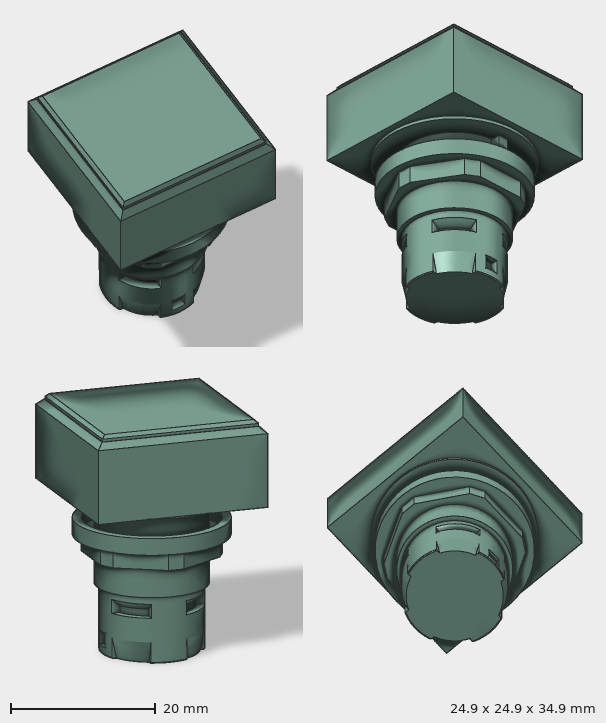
import cadquery as cq
import math

head_side = 24.95
bezel_chamfer = 0.9
cap_side = 23.0
cap_chamfer = 0.5

flange_dia = 23.0
neck_dia = 16.0
ring_dia = 22.0
body_dia = 14.65
core_dia = 12.4

nut_flats = 18.0
nut_corners = 19.5

body_top = 9.65
nut_bottom = 14.0
ring_bottom = 16.6
ring_top = 19.0
flange_bottom = 21.95
head_bottom = 22.45
bezel_top = 33.95
cap_top = 34.85

groove_dia = 19.5
groove_depth = 2.0

tab_reach = 9.55
tab_width = 1.6
tab_bottom = 19.75
tab_top = 21.85

rib_width = 5.1
window_bottom = 6.5
window_top = 8.5
window_roof_drop = 1.0

notch_rib_width = 5.3
notch_top = 3.0
notch_dia = 13.4

hole_side = 2.1
hole_bottom = 1.15

body_edge_chamfer = 0.15


def cylinder(diameter, bottom, top):
    return cq.Workplane("XY").workplane(offset=bottom).circle(diameter / 2).extrude(top - bottom)


def square_block(side, bottom, top):
    return cq.Workplane("XY").workplane(offset=bottom).rect(side, side).extrude(top - bottom)


def hexagon(across_flats, bottom, top):
    across_points = across_flats / math.cos(math.pi / 6)
    plane = cq.Workplane("XY").workplane(offset=bottom)
    return plane.polygon(6, across_points).extrude(top - bottom)


def make_head():
    bezel = square_block(head_side, head_bottom, bezel_top).faces(">Z").edges().chamfer(bezel_chamfer)
    cap = square_block(cap_side, head_bottom, cap_top).faces(">Z").edges().chamfer(cap_chamfer)
    return bezel.union(cap)


def make_nut():
    flats = hexagon(nut_flats, nut_bottom, ring_bottom).rotate((0, 0, 0), (0, 0, 1), 30)
    return flats.intersect(hexagon(nut_corners, nut_bottom, ring_bottom))


def make_ring():
    ring = cylinder(ring_dia, ring_bottom, ring_top)
    return ring.cut(cylinder(groove_dia, ring_top - groove_depth, ring_top))


def make_tab():
    plane = cq.Workplane("XY").workplane(offset=tab_bottom).center(-tab_reach / 2, 0)
    return plane.rect(tab_reach, tab_width).extrude(tab_top - tab_bottom)


def keep_between_ribs(ring, width, bottom, top):
    plane = cq.Workplane("XY").workplane(offset=bottom)
    rib_x = plane.rect(head_side, width).extrude(top - bottom)
    rib_y = plane.rect(width, head_side).extrude(top - bottom)
    return ring.cut(rib_x).cut(rib_y)


def make_windows():
    inner = core_dia / 2
    outer = body_dia / 2
    ring = (
        cq.Workplane("XZ")
        .moveTo(inner, window_bottom)
        .lineTo(outer, window_bottom)
        .lineTo(outer, window_top)
        .lineTo(inner, window_top - window_roof_drop)
        .close()
        .revolve(360, (0, 0), (0, 1))
    )
    return keep_between_ribs(ring, rib_width, window_bottom, window_top)


def make_notches():
    inner = notch_dia / 2
    outer = body_dia / 2
    ring = (
        cq.Workplane("XZ")
        .moveTo(inner, 0)
        .lineTo(outer, 0)
        .lineTo(outer, notch_top)
        .close()
        .revolve(360, (0, 0), (0, 1))
    )
    return keep_between_ribs(ring, notch_rib_width, 0, notch_top)


def make_side_holes():
    plane = cq.Workplane("XY").workplane(offset=hole_bottom)
    bar = plane.rect(body_dia, hole_side).extrude(hole_side)
    return bar.cut(cylinder(core_dia, 0, body_top))


def make_body():
    body = cylinder(body_dia, 0, body_top).faces("<Z").edges().chamfer(body_edge_chamfer)
    return body.cut(make_windows()).cut(make_notches()).cut(make_side_holes())


result = (
    make_body()
    .union(cylinder(neck_dia, body_top, flange_bottom))
    .union(make_nut())
    .union(make_ring())
    .union(make_tab())
    .union(cylinder(flange_dia, flange_bottom, head_bottom))
    .union(make_head())
)